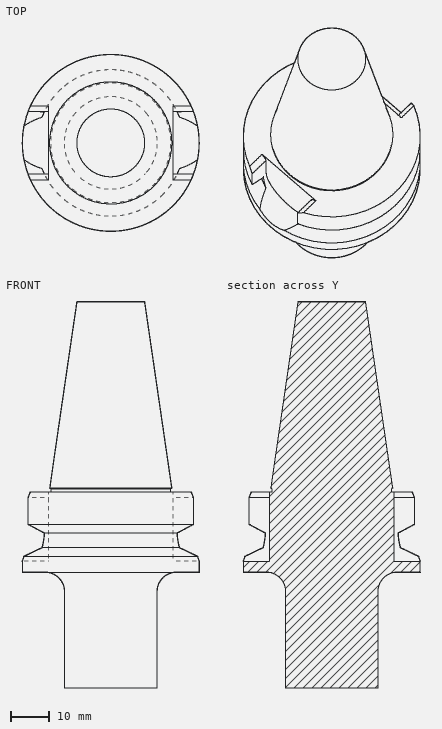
import cadquery as cq
import math


GAUGE_DIAMETER = 31.75
TAPER_LENGTH = 48.4
TAPER_RATE = 7 / 24

NECK_DIAMETER = 31.15
NECK_LENGTH = 1.0
CONE_EDGE_CHAMFER = (GAUGE_DIAMETER - NECK_DIAMETER) / 2

FLANGE_DIAMETER = 45.96
FLANGE_TOP = -NECK_LENGTH
FLANGE_BOTTOM = -21.9

GROOVE_CENTER = -13.6
GROOVE_FLOOR_DIAMETER = 38.1
GROOVE_FLOOR_WIDTH = 3.75
GROOVE_WALL_ANGLE = 30

SHANK_DIAMETER = 24.1
SHANK_BOTTOM = -52.0
SHANK_FILLET = 5.0

SLOT_WIDTH = 16.2
SLOT_FLOOR_DISTANCE = 16.2
SLOT_BOTTOM = -19.0
SLOT_MOUTH_CHAMFER = 1.5


def make_body():
    """Cone, neck, grooved flange and shank, revolved about Z."""
    tip_radius = (GAUGE_DIAMETER - TAPER_LENGTH * TAPER_RATE) / 2
    gauge_radius = GAUGE_DIAMETER / 2
    neck_radius = NECK_DIAMETER / 2
    flange_radius = FLANGE_DIAMETER / 2
    groove_radius = GROOVE_FLOOR_DIAMETER / 2
    shank_radius = SHANK_DIAMETER / 2

    floor_half = GROOVE_FLOOR_WIDTH / 2
    wall_rise = (flange_radius - groove_radius) * math.tan(math.radians(GROOVE_WALL_ANGLE))
    mouth_half = floor_half + wall_rise

    arc_offset = SHANK_FILLET * (1 - math.sqrt(0.5))
    arc_middle = (shank_radius + arc_offset, FLANGE_BOTTOM - arc_offset)

    return (
        cq.Workplane("XZ")
        .moveTo(0, TAPER_LENGTH)
        .lineTo(tip_radius, TAPER_LENGTH)
        .lineTo(gauge_radius, 0)
        .lineTo(neck_radius, -CONE_EDGE_CHAMFER)
        .lineTo(neck_radius, FLANGE_TOP)
        .lineTo(flange_radius, FLANGE_TOP)
        .lineTo(flange_radius, GROOVE_CENTER + mouth_half)
        .lineTo(groove_radius, GROOVE_CENTER + floor_half)
        .lineTo(groove_radius, GROOVE_CENTER - floor_half)
        .lineTo(flange_radius, GROOVE_CENTER - mouth_half)
        .lineTo(flange_radius, FLANGE_BOTTOM)
        .lineTo(shank_radius + SHANK_FILLET, FLANGE_BOTTOM)
        .threePointArc(arc_middle, (shank_radius, FLANGE_BOTTOM - SHANK_FILLET))
        .lineTo(shank_radius, SHANK_BOTTOM)
        .lineTo(0, SHANK_BOTTOM)
        .close()
        .revolve(360, (0, 0), (0, 1))
    )


def make_slot_cutter():
    """Round-bottomed slot with a chamfered mouth, on the +X side."""
    half_width = SLOT_WIDTH / 2
    mouth_half_width = half_width + SLOT_MOUTH_CHAMFER
    arc_center = SLOT_BOTTOM + half_width
    chamfer_bottom = FLANGE_TOP - SLOT_MOUTH_CHAMFER
    cut_depth = FLANGE_DIAMETER / 2 - SLOT_FLOOR_DISTANCE

    return (
        cq.Workplane("YZ", origin=(SLOT_FLOOR_DISTANCE, 0, 0))
        .moveTo(-mouth_half_width, FLANGE_TOP)
        .lineTo(-half_width, chamfer_bottom)
        .lineTo(-half_width, arc_center)
        .threePointArc((0, SLOT_BOTTOM), (half_width, arc_center))
        .lineTo(half_width, chamfer_bottom)
        .lineTo(mouth_half_width, FLANGE_TOP)
        .close()
        .extrude(cut_depth)
    )


result = make_body()
for slot_angle in (0, 180):
    slot_cutter = make_slot_cutter().rotate((0, 0, 0), (0, 0, 1), slot_angle)
    result = result.cut(slot_cutter)